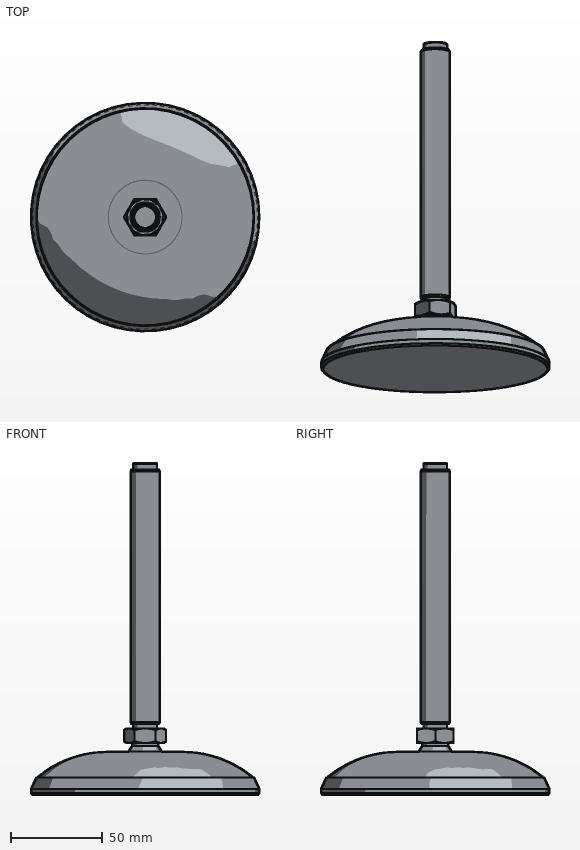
import cadquery as cq
import math

pad_diameter = 125.0
pad_height = 9.6
pad_rim_height = 3.5
pad_chamfer = 1.0
pad_top_diameter = 119.2

plate_diameter = 118.5
plate_top = 23.8
plate_flat_diameter = 40.3

foot_diameter = 18.4
collar_diameter = 14.4
collar_bottom = 26.9
hex_sides = 6
hex_bottom = 28.5
hex_height = 8.0
hex_across_flats = 20.0
hex_chamfer_angle = 30.0
neck_diameter = 13.0
rod_bottom = 38.9
rod_diameter = 16.0
rod_end_diameter = 14.7
rod_bevel_height = 1.0
rod_top = 178.2
tip_chamfer = 0.5
spindle_top = 181.7


def level_arc_middle(level_point, end_point):
    """Middle point of the arc that leaves level_point horizontally and drops to end_point."""
    run = end_point[0] - level_point[0]
    drop = level_point[1] - end_point[1]
    radius = (run**2 + drop**2) / (2 * drop)
    half_sweep = math.asin(run / radius) / 2
    return (
        level_point[0] + radius * math.sin(half_sweep),
        level_point[1] - radius * (1 - math.cos(half_sweep)),
    )


def revolve_profile(profile):
    """Solid of revolution about Z from a closed profile drawn in X (radius) and Z."""
    return profile.close().revolve(360, (0, 0, 0), (0, 1, 0))


def make_pad():
    radius = pad_diameter / 2
    return revolve_profile(
        cq.Workplane("XZ")
        .lineTo(radius - pad_chamfer, 0)
        .lineTo(radius, pad_chamfer)
        .lineTo(radius, pad_rim_height)
        .lineTo(pad_top_diameter / 2, pad_height)
        .lineTo(0, pad_height)
    )


def make_plate():
    flat_edge = (plate_flat_diameter / 2, plate_top)
    outer_edge = (plate_diameter / 2, pad_height)
    return revolve_profile(
        cq.Workplane("XZ")
        .moveTo(0, pad_height)
        .lineTo(*outer_edge)
        .threePointArc(level_arc_middle(flat_edge, outer_edge), flat_edge)
        .lineTo(0, plate_top)
    )


def make_hexagon():
    """Hexagon with two flats facing along Y and its corners bevelled at both ends."""
    across_corners = hex_across_flats / math.cos(math.pi / hex_sides)
    flat_radius = hex_across_flats / 2
    corner_radius = across_corners / 2
    bevel_height = (corner_radius - flat_radius) * math.tan(math.radians(hex_chamfer_angle))
    hex_top = hex_bottom + hex_height
    prism = (
        cq.Workplane("XY", origin=(0, 0, hex_bottom))
        .polygon(hex_sides, across_corners)
        .extrude(hex_height)
    )
    bevel_envelope = revolve_profile(
        cq.Workplane("XZ")
        .moveTo(0, hex_bottom)
        .lineTo(flat_radius, hex_bottom)
        .lineTo(corner_radius, hex_bottom + bevel_height)
        .lineTo(corner_radius, hex_top - bevel_height)
        .lineTo(flat_radius, hex_top)
        .lineTo(0, hex_top)
    )
    return prism.intersect(bevel_envelope)


def make_spindle():
    collar_radius = collar_diameter / 2
    neck_radius = neck_diameter / 2
    rod_radius = rod_diameter / 2
    rod_end_radius = rod_end_diameter / 2
    stem = revolve_profile(
        cq.Workplane("XZ")
        .moveTo(0, plate_top)
        .lineTo(foot_diameter / 2, plate_top)
        .lineTo(collar_radius, collar_bottom)
        .lineTo(collar_radius, hex_bottom)
        .lineTo(neck_radius, hex_bottom)
        .lineTo(neck_radius, rod_bottom)
        .lineTo(rod_end_radius, rod_bottom)
        .lineTo(rod_radius, rod_bottom + rod_bevel_height)
        .lineTo(rod_radius, rod_top - rod_bevel_height)
        .lineTo(rod_end_radius, rod_top)
        .lineTo(neck_radius, rod_top)
        .lineTo(neck_radius, spindle_top - tip_chamfer)
        .lineTo(neck_radius - tip_chamfer, spindle_top)
        .lineTo(0, spindle_top)
    )
    return stem.union(make_hexagon())


pad = make_pad()
plate = make_plate()
spindle = make_spindle()

result = cq.Compound.makeCompound([pad.val(), plate.val(), spindle.val()])